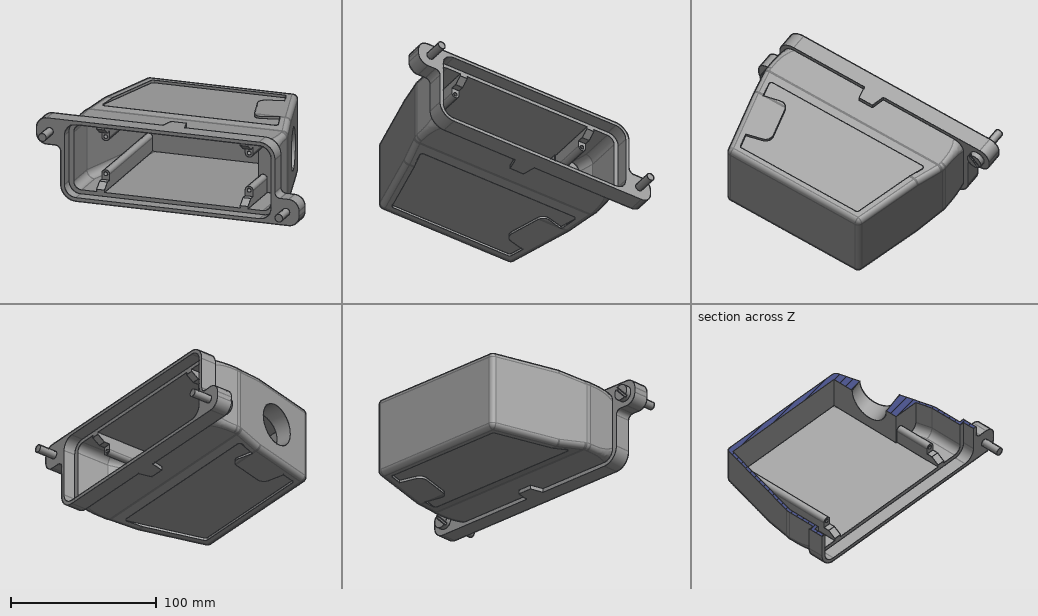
import cadquery as cq
import math


hood_top = 110.2
hood_half_length = 74.7
hood_half_thickness = 29.0
neck_half_thickness = 26.1
end_slope = math.radians(14.8)
end_kink_y = 35.3
end_kink_radius = 11.5
shoulder_low_y = 36.5
shoulder_high_y = 57.2
shoulder_radius = 6.7
edge_radius = 3.8

neck_top = 33.5
neck_foot_radius = 8.3
neck_sections = 5

flange_height = 12.0
flange_half_length = 78.3
flange_corner_radius = 11.5
ear_reach = 96.0
ear_width = 19.0
ear_radius = 7.7
ear_inner_radius = 3.8
tab_top = 21.9
tab_half_base = 7.9
tab_half_top = 5.5

screw_x = 86.4
screw_z = 19.4
screw_diameter = 5.5
screw_tip_y = -14.2
head_diameter = 11.3
head_height = 4.0
slot_width = 1.7
slot_depth = 1.5
slot_turn = 45

recess_half_length = 75.5
recess_half_thickness = 26.3
recess_depth = 9.2
recess_radius = 8.5

cavity_half_length = 72.0
cavity_half_thickness = 23.5
cavity_kink_y = 35.5
cavity_top = 105.5
cavity_radius = 5.8
entry_wall_x = 48.8
entry_wall_y = 47.6

rib_x = 52.5
rib_width = 5.8
rib_screw_z = 13.5
rib_hole_diameter = 2.7
rib_hole_depth = 15.4
rib_face_y = 19.4
rib_step_y = 15.0
rib_step_z = 17.7
rib_rim_z = 21.7

entry_diameter = 30.5
entry_y = 76.6
entry_surface_x = hood_half_length - (entry_y - end_kink_y) * math.tan(end_slope)

panel_low_y = 43.8
panel_high_y = 103.0
panel_inset = 7.9
panel_floor_z = 27.0
panel_radius = 2.0
pad_half_width = 17.5
pad_length = 25.7
pad_radius = 5.8

pick_reach = 0.2


def end_x(y, half_length, kink_y):
    """Half length at height y of an outline whose ends lean inward above kink_y."""
    return half_length - max(0.0, y - kink_y) * math.tan(end_slope)


def edges_at(body, direction, points):
    """Edges of body along a direction whose centres lie at the given points."""
    picked = []
    for x, y, z in points:
        box = cq.selectors.BoxSelector(
            (x - pick_reach, y - pick_reach, z - pick_reach),
            (x + pick_reach, y + pick_reach, z + pick_reach),
        )
        picked += body.edges(direction).edges(box).vals()
    return body.newObject(picked)


def with_opposites(points):
    """The (x, z) points together with their half-turn copies about the Y axis."""
    return points + [(-x, -z) for x, z in points]


def block_y(half_length, half_thickness, low_y, high_y):
    """Box centred on the Y axis between two heights."""
    base = cq.Workplane("XZ", origin=(0, low_y, 0))
    return base.rect(2 * half_length, 2 * half_thickness).extrude(low_y - high_y)


def cylinder_y(x, z, diameter, low_y, high_y):
    """Cylinder along Y between two heights."""
    base = cq.Workplane("XZ", origin=(0, low_y, 0))
    return base.center(x, z).circle(diameter / 2).extrude(low_y - high_y)


def leaning_prism(half_length, kink_y, top_y, half_thickness):
    """Prism from Y = 0 whose ends stand straight up to kink_y and lean inward above it."""
    top_x = end_x(top_y, half_length, kink_y)
    outline = [
        (-half_length, 0),
        (half_length, 0),
        (half_length, kink_y),
        (top_x, top_y),
        (-top_x, top_y),
        (-half_length, kink_y),
    ]
    return cq.Workplane("XY").polyline(outline).close().extrude(half_thickness, both=True)


def upper_hood():
    """Hood above the neck: length outline crossed with thickness outline, edges rounded."""
    length_body = leaning_prism(hood_half_length, end_kink_y, hood_top, hood_half_thickness)
    end_kinks = [(side * hood_half_length, end_kink_y, 0) for side in (-1, 1)]
    length_body = edges_at(length_body, "|Z", end_kinks).fillet(end_kink_radius)

    upper_side = [
        (0, neck_half_thickness),
        (shoulder_low_y, neck_half_thickness),
        (shoulder_high_y, hood_half_thickness),
        (hood_top, hood_half_thickness),
    ]
    lower_side = [(y, -z) for y, z in reversed(upper_side)]
    thickness_body = (
        cq.Workplane("YZ")
        .polyline(upper_side + lower_side)
        .close()
        .extrude(hood_half_length, both=True)
    )
    shoulders = [(0, y, z) for y, z in upper_side[1:3] + lower_side[1:3]]
    thickness_body = edges_at(thickness_body, "|X", shoulders).fillet(shoulder_radius)

    hood = length_body.intersect(thickness_body)
    hood = hood.edges("(not (|X or |Z)) or >Y").fillet(edge_radius)
    return hood.cut(block_y(ear_reach, hood_half_thickness, 0, neck_top))


def neck():
    """Straight neck whose corner radius grows smoothly toward the flange."""
    sections = []
    for index in range(neck_sections):
        fraction = index / (neck_sections - 1)
        drop = fraction * (neck_top - flange_height)
        radius = edge_radius + (neck_foot_radius - edge_radius) * fraction**3
        outline = cq.Sketch().rect(2 * hood_half_length, 2 * neck_half_thickness).vertices().fillet(radius)
        sections.append(outline.moved(cq.Location(cq.Vector(0, 0, drop))))
    return cq.Workplane("XZ", origin=(0, neck_top, 0)).placeSketch(*sections).loft()


def flange():
    """Flange plate with two diagonally opposite ears and a tapered tab on each broad side."""
    ear_inner_z = ear_width - hood_half_thickness
    corner = (flange_half_length, hood_half_thickness)
    ear_root = (flange_half_length, ear_inner_z)
    ear_shoulder = (ear_reach, ear_inner_z)
    ear_tip = (ear_reach, -hood_half_thickness)
    outline = with_opposites([corner, ear_root, ear_shoulder, ear_tip])
    plate = cq.Workplane("XZ").polyline(outline).close().extrude(-flange_height)

    roundings = [
        ([corner], flange_corner_radius),
        ([ear_tip, ear_shoulder], ear_radius),
        ([ear_root], ear_inner_radius),
    ]
    for points, radius in roundings:
        centres = [(x, flange_height / 2, z) for x, z in with_opposites(points)]
        plate = edges_at(plate, "|Y", centres).fillet(radius)

    tab_outline = [
        (-tab_half_base, flange_height),
        (tab_half_base, flange_height),
        (tab_half_top, tab_top),
        (-tab_half_top, tab_top),
    ]
    tabs = cq.Workplane("XY").polyline(tab_outline).close().extrude(hood_half_thickness, both=True)
    return plate.union(tabs)


def screw(x, z):
    """Captive screw: shank below the flange and a head on top, slotted along X = Z."""
    head_top = flange_height + head_height
    shank = cylinder_y(x, z, screw_diameter, screw_tip_y, flange_height)
    head = cylinder_y(x, z, head_diameter, flange_height, head_top)
    slot = (
        cq.Workplane("XY")
        .box(2 * head_diameter, 2 * slot_depth, slot_width)
        .rotate((0, 0, 0), (0, 1, 0), -slot_turn)
        .translate((x, head_top, z))
    )
    return shank.union(head.cut(slot))


def cavity():
    """Inner space with leaning ends, shortened by a thick wall at the cable entry."""
    space = leaning_prism(cavity_half_length, cavity_kink_y, cavity_top, cavity_half_thickness)
    space = space.edges("not (|X or |Z)").fillet(cavity_radius)
    thick_wall = (
        cq.Workplane("XY")
        .box(hood_half_length, hood_top, 2 * hood_half_thickness, centered=(False, False, True))
        .translate((entry_wall_x, entry_wall_y, 0))
    )
    return space.cut(thick_wall)


def rib(side_x, side_z):
    """Round-nosed rib on a broad wall, stepped at its mouth, with a blind screw hole."""
    profile = [
        (recess_depth, cavity_half_thickness),
        (recess_depth, rib_rim_z),
        (rib_step_y, rib_step_z),
        (rib_face_y, rib_step_z),
        (rib_face_y, rib_screw_z),
        (cavity_top, rib_screw_z),
        (cavity_top, cavity_half_thickness),
    ]
    web = cq.Workplane("YZ").polyline(profile).close().extrude(rib_width / 2, both=True)
    nose = cylinder_y(0, rib_screw_z, rib_width, rib_face_y, cavity_top)
    hole = cylinder_y(0, rib_screw_z, rib_hole_diameter, rib_face_y, rib_face_y + rib_hole_depth)
    upper_rib = web.union(nose).cut(hole)
    placed = upper_rib if side_z > 0 else upper_rib.mirror("XY")
    return placed.translate((side_x * rib_x, 0, 0))


def entry_bore():
    """Cable-entry bore square to the leaning +X end, open into the cavity."""
    outward = (math.cos(end_slope), math.sin(end_slope), 0)
    end_plane = cq.Plane(origin=(entry_surface_x, entry_y, 0), xDir=(0, 0, 1), normal=outward)
    reach = entry_diameter
    return cq.Workplane(end_plane).circle(entry_diameter / 2).extrude(reach, both=True)


def panel_recess():
    """Shallow recess on the +Z face that leaves a raised pad beside the cable entry."""
    depth = hood_half_thickness - panel_floor_z
    low_x = end_x(panel_low_y, hood_half_length, end_kink_y) - panel_inset
    high_x = end_x(panel_high_y, hood_half_length, end_kink_y) - panel_inset
    outline = [
        (-low_x, panel_low_y),
        (low_x, panel_low_y),
        (high_x, panel_high_y),
        (-high_x, panel_high_y),
    ]
    area = cq.Workplane("XY", origin=(0, 0, panel_floor_z)).polyline(outline).close().extrude(depth)

    up_slope = (-math.sin(end_slope), math.cos(end_slope), 0)
    pad_plane = cq.Plane(origin=(entry_surface_x, entry_y, panel_floor_z), xDir=up_slope, normal=(0, 0, 1))
    pad = cq.Workplane(pad_plane).rect(2 * pad_half_width, 2 * pad_length).extrude(depth)
    recess = area.cut(pad)

    pad_corners = [
        pad_plane.toWorldCoords((side * pad_half_width, pad_length, depth / 2)).toTuple()
        for side in (-1, 1)
    ]
    panel_corners = [(x, y, panel_floor_z + depth / 2) for x, y in outline]
    recess = edges_at(recess, "|Z", pad_corners).fillet(pad_radius)
    return edges_at(recess, "|Z", panel_corners).fillet(panel_radius)


body = upper_hood().union(neck()).union(flange())

hollow = cavity()
for side_x in (-1, 1):
    for side_z in (-1, 1):
        hollow = hollow.cut(rib(side_x, side_z))
seal_recess = block_y(recess_half_length, recess_half_thickness, 0, recess_depth)
seal_recess = seal_recess.edges("|Y").fillet(recess_radius)
body = body.cut(hollow).cut(seal_recess)

panel = panel_recess()
body = body.cut(entry_bore()).cut(panel).cut(panel.mirror("XY"))

for x, z in with_opposites([(screw_x, -screw_z)]):
    body = body.union(screw(x, z))

result = body